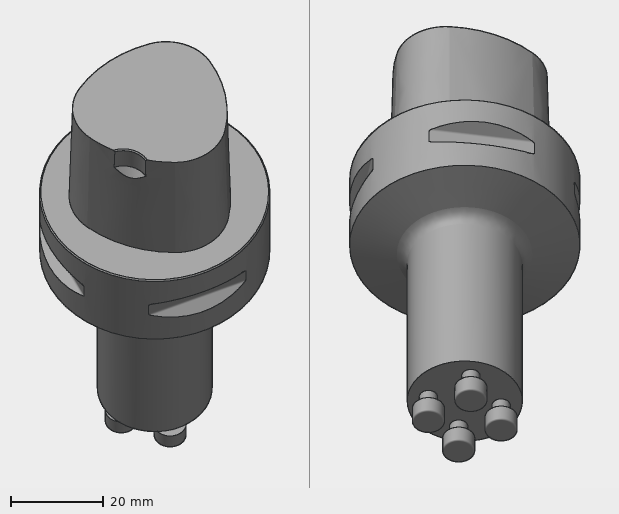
import cadquery as cq
import math

SHANK_LENGTH = 30.0
LOBE_REACH = 18.7
FLAT_REACH = 16.3
LOBE_RADIUS = 11.7
TAPER_RATIO = 1 / 20
TAPER_PER_SIDE = SHANK_LENGTH * TAPER_RATIO / 2
LOBE_COUNT = 3
LOBE_PITCH = 2 * math.pi / LOBE_COUNT

NOTCH_RADIUS = 5.5
NOTCH_AXIS_Y = -19.55
NOTCH_DEPTH = 5.5
NOTCH_POINT_ANGLE = 45.0
NOTCH_CHAMFER = 0.3

FLANGE_RADIUS = 25.0
FLANGE_THICKNESS = 20.0
FLANGE_CHAMFER = 0.3
NECK_RADIUS = 12.5
NECK_BOTTOM_Z = -67.0
CONE_ANGLE = 15.0
NECK_FILLET = 3.0

GROOVE_COUNT = 4
GROOVE_Z = -10.0
GROOVE_FLOOR_WIDTH = 3.5
GROOVE_FLOOR_DISTANCE = 22.15
GROOVE_FLANK_ANGLE = 30.0
GROOVE_OVERSHOOT = 1.0
GROOVE_FILLET = 0.6

SCREW_COUNT = 4
SCREW_CIRCLE_RADIUS = 8.0
SCREW_RADIUS = 2.0
SCREW_EXPOSED_LENGTH = 3.61
SCREW_HEAD_RADIUS = 3.5
SCREW_HEAD_HEIGHT = 4.0
SCREW_HEAD_FILLET = 0.4
SCREW_NECK_FILLET = 0.2

FIRST_DIAGONAL = 45.0


def polar(radius, angle):
    return (radius * math.cos(angle), radius * math.sin(angle))


def shank_outline(z, inset):
    """Closed outline of tangent lobe and side arcs, moved inward by inset."""
    half_pitch = LOBE_PITCH / 2
    lobe_offset = LOBE_REACH - LOBE_RADIUS
    across = lobe_offset * math.sin(half_pitch)
    along = lobe_offset * math.cos(half_pitch)
    gap = along - FLAT_REACH
    side_radius = (LOBE_RADIUS**2 - across**2 - gap**2) / (2 * (LOBE_RADIUS + gap))
    side_half_angle = math.atan2(across, side_radius + gap)
    side_offset = side_radius - FLAT_REACH

    def seam(side, angle_from_side):
        """Point of a side arc, by the direction of its side and the angle from there."""
        center_x, center_y = polar(-side_offset, side)
        x, y = polar(side_radius - inset, side + angle_from_side)
        return (center_x + x, center_y + y)

    first_side = -math.pi / 2
    outline = cq.Workplane("XY").workplane(offset=z).moveTo(*seam(first_side, -side_half_angle))
    for index in range(LOBE_COUNT):
        side = first_side + index * LOBE_PITCH
        next_side = side + LOBE_PITCH
        lobe_tip = polar(LOBE_REACH - inset, side + half_pitch)
        side_middle = polar(FLAT_REACH - inset, side)
        outline = outline.threePointArc(side_middle, seam(side, side_half_angle))
        outline = outline.threePointArc(lobe_tip, seam(next_side, -side_half_angle))
    return outline.close().wire().val()


def make_shank():
    base = shank_outline(0, 0)
    top = shank_outline(SHANK_LENGTH, TAPER_PER_SIDE)
    return cq.Workplane(cq.Solid.makeLoft([base, top], True))


def make_notch():
    point_depth = NOTCH_RADIUS / math.tan(math.radians(NOTCH_POINT_ANGLE))
    profile = [
        (0, 0),
        (NOTCH_RADIUS + NOTCH_CHAMFER, 0),
        (NOTCH_RADIUS, -NOTCH_CHAMFER),
        (NOTCH_RADIUS, -NOTCH_DEPTH),
        (0, -NOTCH_DEPTH - point_depth),
    ]
    drill = cq.Workplane("XZ").polyline(profile).close().revolve(360, (0, 0, 0), (0, 1, 0))
    return drill.translate((0, NOTCH_AXIS_Y, SHANK_LENGTH))


def make_body():
    """Flange, cone and neck turned about Z, with a fillet where the cone meets the neck."""
    cone_drop = (FLANGE_RADIUS - NECK_RADIUS) * math.tan(math.radians(CONE_ANGLE))
    cone_bottom_z = -FLANGE_THICKNESS - cone_drop
    profile = [
        (0, 0),
        (FLANGE_RADIUS - FLANGE_CHAMFER, 0),
        (FLANGE_RADIUS, -FLANGE_CHAMFER),
        (FLANGE_RADIUS, -FLANGE_THICKNESS),
        (NECK_RADIUS, cone_bottom_z),
        (NECK_RADIUS, NECK_BOTTOM_Z),
        (0, NECK_BOTTOM_Z),
    ]
    body = cq.Workplane("XZ").polyline(profile).close().revolve(360, (0, 0, 0), (0, 1, 0))
    corner = cq.selectors.NearestToPointSelector((0, 0, cone_bottom_z))
    return body.edges(corner).fillet(NECK_FILLET)


def make_groove(angle):
    """Straight groove of trapezoidal section, across the flange at the given angle."""
    outer = FLANGE_RADIUS + GROOVE_OVERSHOOT
    spread = (outer - GROOVE_FLOOR_DISTANCE) * math.tan(math.radians(GROOVE_FLANK_ANGLE))
    half_floor = GROOVE_FLOOR_WIDTH / 2
    section = [
        (GROOVE_FLOOR_DISTANCE, GROOVE_Z - half_floor),
        (outer, GROOVE_Z - half_floor - spread),
        (outer, GROOVE_Z + half_floor + spread),
        (GROOVE_FLOOR_DISTANCE, GROOVE_Z + half_floor),
    ]
    groove = cq.Workplane("XZ").polyline(section).close().extrude(FLANGE_RADIUS, both=True)
    groove = groove.faces("<X").edges("|Y").fillet(GROOVE_FILLET)
    return groove.rotate((0, 0, 0), (0, 0, 1), angle)


def make_screw(angle):
    head_top_z = NECK_BOTTOM_Z - SCREW_EXPOSED_LENGTH
    shaft = cq.Workplane("XY").workplane(offset=NECK_BOTTOM_Z)
    shaft = shaft.circle(SCREW_RADIUS).extrude(-SCREW_EXPOSED_LENGTH)
    head = cq.Workplane("XY").workplane(offset=head_top_z)
    head = head.circle(SCREW_HEAD_RADIUS).extrude(-SCREW_HEAD_HEIGHT)
    head = head.faces("<Z").edges().fillet(SCREW_HEAD_FILLET)
    shaft_root = cq.selectors.BoxSelector(
        (-SCREW_RADIUS, -SCREW_RADIUS, head_top_z - SCREW_NECK_FILLET),
        (SCREW_RADIUS, SCREW_RADIUS, head_top_z + SCREW_NECK_FILLET),
    )
    screw = shaft.union(head).edges(shaft_root).edges(cq.selectors.RadiusNthSelector(0))
    screw = screw.fillet(SCREW_NECK_FILLET)
    x, y = polar(SCREW_CIRCLE_RADIUS, math.radians(angle))
    return screw.translate((x, y, 0))


def diagonals(count):
    return [FIRST_DIAGONAL + index * 360.0 / count for index in range(count)]


result = make_body().union(make_shank().cut(make_notch()))
for groove_angle in diagonals(GROOVE_COUNT):
    result = result.cut(make_groove(groove_angle))
for screw_angle in diagonals(SCREW_COUNT):
    result = result.union(make_screw(screw_angle))